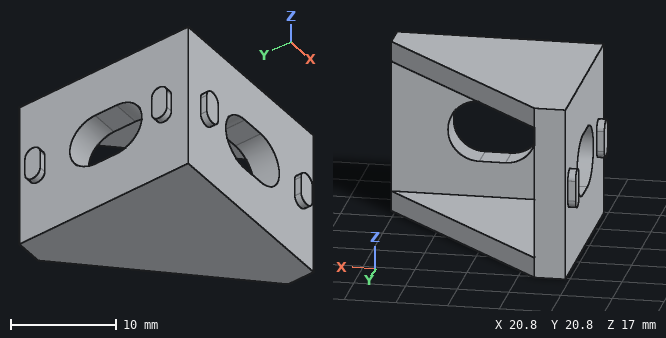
import cadquery as cq

overall = 20.75
nub_height = 0.75
leg = overall - nub_height
height = 17.0
leg_wall = 3.0
side_wall = 2.0

slot_length = 8.53
slot_width = 6.0
slot_center_x = 10.25
slot_center_y = 9.75

nub_length = 3.78
nub_width = 1.78
nub_pitch = 15.0
nub_center = 10.38

mid_height = height / 2
cut_margin = 0.2


def make_body():
    """Webbed wedge with its outer corner at the origin."""
    return (
        cq.Workplane("XY")
        .polyline([(0, 0), (leg, 0), (leg, leg_wall), (leg_wall, leg), (0, leg)])
        .close()
        .extrude(height)
    )


def make_cavity():
    """Space between the legs and webs, open through the sloping face."""
    return (
        cq.Workplane("XY")
        .workplane(offset=side_wall)
        .polyline([(leg_wall, leg_wall), (leg, leg_wall), (leg, leg), (leg_wall, leg)])
        .close()
        .extrude(height - 2 * side_wall)
    )


def swap_xy(shape):
    """Mirror a feature of the leg along X onto the leg along Y."""
    return shape.rotate((0, 0, 0), (0, 0, 1), 90).mirror("YZ")


def make_slot(center):
    """Cutter for a bolt slot through the leg along X."""
    return (
        cq.Workplane("XZ", origin=(center, -cut_margin, mid_height))
        .slot2D(slot_length, slot_width)
        .extrude(-(leg_wall + 2 * cut_margin))
    )


def make_nubs():
    """Pair of nubs standing out of the -Y mounting face."""
    return (
        cq.Workplane("XZ", origin=(nub_center, 0, mid_height))
        .pushPoints([(-nub_pitch / 2, 0), (nub_pitch / 2, 0)])
        .slot2D(nub_length, nub_width, 90)
        .extrude(nub_height)
    )


bracket = make_body().cut(make_cavity())
bracket = bracket.cut(make_slot(slot_center_x)).cut(swap_xy(make_slot(slot_center_y)))
nubs = make_nubs()
result = bracket.union(nubs).union(swap_xy(nubs))